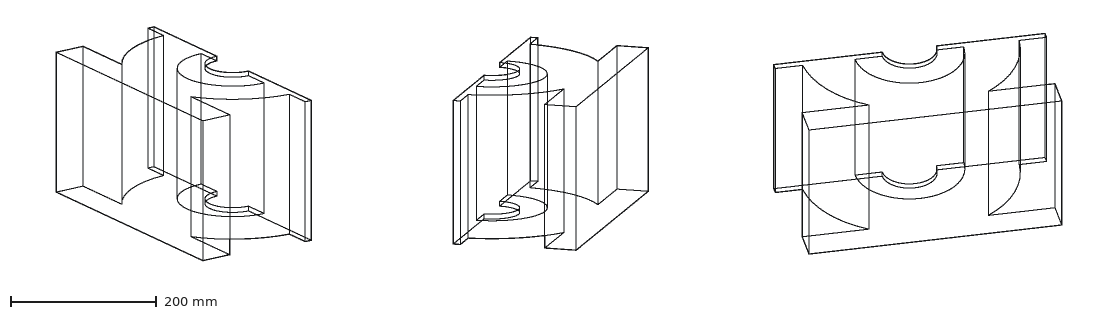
import cadquery as cq

length = 381.0
depth = 172.2
height = 203.0

base_length = 355.0
base_thickness = 45.0

flange_thickness = 10.3

body_radius = 152.5
bore_radius = 38.0

chamber_radius = 2 * bore_radius
end_wall = 7.0

back_y = depth / 2
front_y = -depth / 2


def slab(slab_length, thickness, start_y):
    """Full-height slab centred on X, running from start_y towards +Y."""
    return (
        cq.Workplane("XY")
        .box(slab_length, thickness, height, centered=(True, False, False))
        .translate((0, start_y, 0))
    )


def upright_cylinder(radius, start_z=0, end_z=height):
    """Cylinder from start_z to end_z whose axis lies in the back face."""
    return (
        cq.Workplane("XY", origin=(0, back_y, start_z))
        .circle(radius)
        .extrude(end_z - start_z)
    )


base = slab(base_length, base_thickness, front_y)
flange = slab(length, flange_thickness, back_y - flange_thickness)

envelope = slab(length, depth, front_y)
body = upright_cylinder(body_radius).intersect(envelope)

bore = upright_cylinder(bore_radius)
chamber = upright_cylinder(chamber_radius, end_wall, height - end_wall)

result = base.union(body).union(flange).cut(bore).cut(chamber)